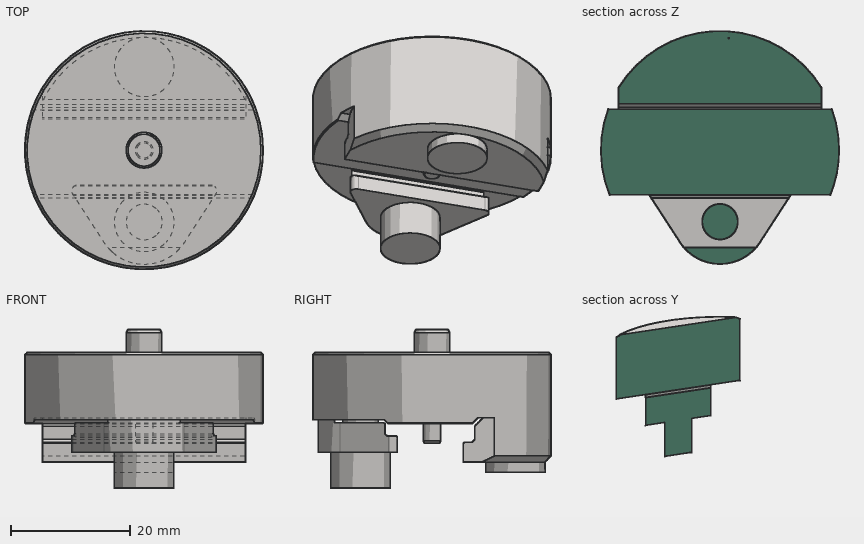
import cadquery as cq
import math

overall_height = 26.65
disc_diameter = 40
disc_radius = disc_diameter / 2
disc_bottom = -11.95
disc_top_chamfer = 0.4
disc_bottom_chamfer = 0.15

rear_slot_roof = -11.0
rear_slot_edge = 7.7
front_slot_roof = -11.3
front_slot_edge = -8

top_pin_diameter = 6
top_pin_height = 3.9
top_pin_tip_length = 0.6
top_pin_tip_inset = 0.3
lower_pin_diameter = 3.0
lower_pin_end = -15.3
lower_pin_tip_length = 0.5
lower_pin_tip_inset = 0.25

foot_diameter = 10

rear_jaw_width = 34.1
rear_jaw_bottom = -18.4
rear_jaw_step = -15.05
rear_jaw_lip = 5.25
rear_jaw_face = 7.15
rear_jaw_top_chamfer = 1.35
rear_jaw_corner_chamfer = 0.45
rear_jaw_lip_chamfer = 0.25
rear_jaw_rim_chamfer = 1.05
rear_foot_y = 14
rear_foot_bottom = -20.1

front_jaw_top = -11.8
front_jaw_bottom = -16.75
front_jaw_step = -14
front_jaw_lip = -5.8
front_jaw_face = -7.9
front_jaw_end_radius = 8
front_jaw_end_y = -11.1
front_jaw_flank_angle = math.radians(33)
front_jaw_nose_radius = 1.0
front_jaw_corner_chamfer = 0.3
front_jaw_lip_chamfer = 0.2
front_jaw_rim_edge = -16.3
front_pad_diameter = 6
front_foot_y = -12
front_foot_bottom = top_pin_height - overall_height


def cylinder(diameter, z_low, z_high, y=0):
    return cq.Workplane("XY", origin=(0, y, z_low)).circle(diameter / 2).extrude(z_high - z_low)


def section_along_x(points, width):
    """Prism with a (y, z) outline, centred on x = 0."""
    return cq.Workplane("YZ").polyline(points).close().extrude(width / 2, both=True)


def slot_cutter(edge, roof, side):
    """Slot open towards the rim; side is +1 for the rear and -1 for the front."""
    depth = roof - disc_bottom
    outer = side * disc_diameter
    points = [
        (edge, roof),
        (outer, roof),
        (outer, disc_bottom),
        (edge - side * depth, disc_bottom),
    ]
    return section_along_x(points, 2 * disc_diameter)


def make_disc():
    disc = cylinder(disc_diameter, disc_bottom, 0)
    disc = disc.faces(">Z").chamfer(disc_top_chamfer)
    disc = disc.faces("<Z").chamfer(disc_bottom_chamfer)
    disc = disc.cut(slot_cutter(rear_slot_edge, rear_slot_roof, 1))
    return disc.cut(slot_cutter(front_slot_edge, front_slot_roof, -1))


def make_pins():
    top_pin = cylinder(top_pin_diameter, 0, top_pin_height)
    top_pin = top_pin.faces(">Z").chamfer(top_pin_tip_length, top_pin_tip_inset)
    lower_pin = cylinder(lower_pin_diameter, lower_pin_end, disc_bottom)
    lower_pin = lower_pin.faces("<Z").chamfer(lower_pin_tip_length, lower_pin_tip_inset)
    return top_pin.union(lower_pin)


def make_rear_jaw():
    points = [
        (rear_jaw_lip, rear_jaw_bottom),
        (rear_jaw_lip, rear_jaw_step - rear_jaw_lip_chamfer),
        (rear_jaw_lip + rear_jaw_lip_chamfer, rear_jaw_step),
        (rear_jaw_face - rear_jaw_corner_chamfer, rear_jaw_step),
        (rear_jaw_face, rear_jaw_step + rear_jaw_corner_chamfer),
        (rear_jaw_face, rear_slot_roof - rear_jaw_top_chamfer),
        (rear_jaw_face + rear_jaw_top_chamfer, rear_slot_roof),
        (disc_radius, rear_slot_roof),
        (disc_radius, rear_jaw_bottom),
    ]
    envelope = cylinder(disc_diameter, rear_jaw_bottom, rear_slot_roof)
    envelope = envelope.faces("<Z").chamfer(rear_jaw_rim_chamfer)
    jaw = section_along_x(points, rear_jaw_width).intersect(envelope)
    return jaw.union(cylinder(foot_diameter, rear_foot_bottom, rear_jaw_bottom, rear_foot_y))


def front_jaw_outline():
    """Full-height wedge: flanks tangent to the round end, rounded nose corners."""
    tangent_x = front_jaw_end_radius * math.cos(front_jaw_flank_angle)
    tangent_y = front_jaw_end_y - front_jaw_end_radius * math.sin(front_jaw_flank_angle)
    nose_x = tangent_x + (front_jaw_lip - tangent_y) * math.tan(front_jaw_flank_angle)
    return (
        cq.Workplane("XY", origin=(0, 0, front_jaw_bottom))
        .moveTo(-nose_x, front_jaw_lip)
        .lineTo(-tangent_x, tangent_y)
        .threePointArc((0, front_jaw_end_y - front_jaw_end_radius), (tangent_x, tangent_y))
        .lineTo(nose_x, front_jaw_lip)
        .close()
        .extrude(front_slot_roof - front_jaw_bottom)
        .edges("|Z and >Y")
        .fillet(front_jaw_nose_radius)
    )


def make_front_jaw():
    points = [
        (front_jaw_lip, front_jaw_bottom),
        (front_jaw_lip, front_jaw_step - front_jaw_lip_chamfer),
        (front_jaw_lip - front_jaw_lip_chamfer, front_jaw_step),
        (front_jaw_face + front_jaw_corner_chamfer, front_jaw_step),
        (front_jaw_face, front_jaw_step + front_jaw_corner_chamfer),
        (front_jaw_face, front_jaw_top - front_jaw_lip_chamfer),
        (front_jaw_face - front_jaw_lip_chamfer, front_jaw_top),
        (front_jaw_rim_edge, front_jaw_top),
        (front_jaw_rim_edge, front_slot_roof),
        (-disc_radius, front_slot_roof),
        (-disc_radius, front_jaw_bottom),
    ]
    jaw = front_jaw_outline().intersect(section_along_x(points, disc_diameter))
    pad = cylinder(front_pad_diameter, front_jaw_top, front_slot_roof, front_foot_y)
    foot = cylinder(foot_diameter, front_foot_bottom, front_jaw_bottom, front_foot_y)
    return jaw.union(pad).union(foot)


result = make_disc().union(make_pins()).union(make_rear_jaw()).union(make_front_jaw())